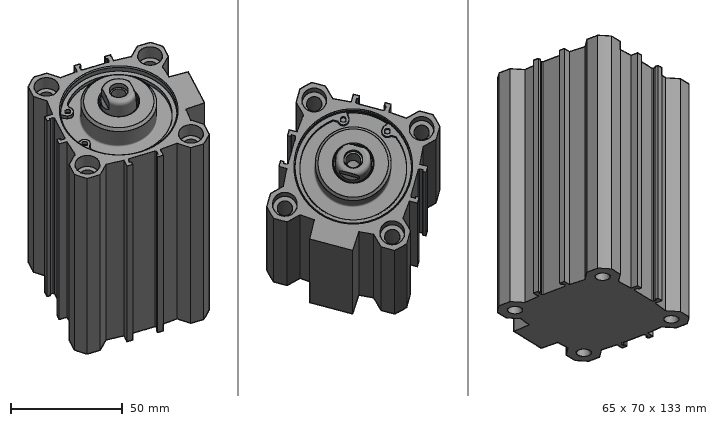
import cadquery as cq
import math


overall_width = 65.0
overall_depth = 70.0
overall_height = 133.0
housing_height = 119.5
boss_top = 125.7

half_width = overall_width / 2
lobe_corner = 28.0
lobe_inner = 21.8
wall_centre = 28.5
wall_end = 27.8
lobe_flank = half_width - wall_end

rail_outer = 8.8
rail_lip_inner = 6.0
rail_stem_width = 2.0
rail_tip = 32.2
rail_lip_thickness = 1.6
rail_root_chamfer = 0.5

port_top = overall_depth - half_width
port_top_width = 20.0
port_base_width = 20.7

mount_pitch = 49.9
mount_hole_diameter = 6.8
mount_counterbore_diameter = 11.0
mount_counterbore_depth = 7.5

bore_diameter = 52.1
bore_chamfer = 0.5
bore_chamfer_angle = 45
cover_depth = 22.6
bore_floor = housing_height - cover_depth

ring_depth = 3.0
ring_thickness = 2.0
ring_outer_diameter = 55.2
ring_inner_diameter = 47.9
ring_top = housing_height - ring_depth
ring_bottom = ring_top - ring_thickness
lug_x = 10.2
lug_y = -20.5
lug_radius = 2.5
lug_hole_diameter = 2.5
tab_edge_y = -19.0
lug_end = (7.8, -21.7)
ring_end = (10.5, -25.5)

cover_diameter = 51.7
boss_diameter = 34.0
boss_chamfer = 1.26
boss_base_fillet = 0.73
rod_clearance_diameter = 16.5
wiper_diameter = 17.7
wiper_depth = 2.7
wiper_chamfer = 0.47

rod_diameter = 16.0
rod_end_fillet = 1.9
flat_distance = 6.5
flat_length = 5.5
socket_diameter = 8.4
socket_depth = 2.7
thread_diameter = 6.6
thread_depth = 16.0
drill_point_angle = 160.0


def turned(point, quarter):
    """Turn a point about the axis by quarter turns."""
    x, y = point
    for _ in range(quarter):
        x, y = -y, x
    return (x, y)


def cylinder(diameter, bottom, top):
    return cq.Workplane("XY").workplane(offset=bottom).circle(diameter / 2).extrude(top - bottom)


def make_lobed_block():
    flank_x = lobe_inner - lobe_flank
    side = [
        (lobe_corner, half_width),
        (lobe_inner, half_width),
        (flank_x, wall_end),
        (rail_outer, wall_centre),
        (-rail_outer, wall_centre),
        (-flank_x, wall_end),
        (-lobe_inner, half_width),
        (-lobe_corner, half_width),
    ]
    corner_mid = math.hypot(lobe_corner, half_width) / math.sqrt(2)
    profile = cq.Workplane("XY").moveTo(*side[0])
    for quarter in range(4):
        for point in side[1:]:
            profile = profile.lineTo(*turned(point, quarter))
        profile = profile.threePointArc(
            turned((-corner_mid, corner_mid), quarter), turned(side[0], quarter + 1)
        )
    return profile.close().extrude(housing_height)


def make_rail(quarter, mirror):
    """One L-shaped rail; its lip points to the middle of the side."""
    stem_inner = rail_outer - rail_stem_width
    lip_start = rail_tip - rail_lip_thickness
    outline = [
        (rail_outer, wall_end),
        (rail_outer, rail_tip),
        (rail_lip_inner, rail_tip),
        (rail_lip_inner, lip_start),
        (stem_inner, lip_start),
        (stem_inner, wall_centre + rail_root_chamfer),
        (stem_inner - rail_root_chamfer, wall_centre),
        (stem_inner - rail_root_chamfer, wall_end),
    ]
    points = [turned((mirror * x, y), quarter) for x, y in outline]
    return cq.Workplane("XY").polyline(points).close().extrude(housing_height)


def make_port_block():
    outline = [
        (-port_base_width / 2, wall_end),
        (port_base_width / 2, wall_end),
        (port_top_width / 2, port_top),
        (-port_top_width / 2, port_top),
    ]
    return cq.Workplane("XY").polyline(outline).close().extrude(housing_height)


def make_housing():
    body = make_lobed_block().union(make_port_block())
    for quarter in (1, 2, 3):
        for mirror in (1, -1):
            body = body.union(make_rail(quarter, mirror))
    body = (
        body.faces(">Z").workplane(origin=(0, 0, housing_height))
        .rect(mount_pitch, mount_pitch, forConstruction=True).vertices()
        .cboreHole(mount_hole_diameter, mount_counterbore_diameter, mount_counterbore_depth)
    )
    bore_mouth = (
        cq.Workplane("XY").workplane(offset=housing_height)
        .circle(bore_diameter / 2 + bore_chamfer).extrude(-bore_chamfer, taper=bore_chamfer_angle)
    )
    body = body.cut(cylinder(bore_diameter, bore_floor, housing_height)).cut(bore_mouth)
    return body.cut(cylinder(ring_outer_diameter, ring_bottom, ring_top))


def make_ring():
    plane = cq.Workplane("XY").workplane(offset=ring_bottom)
    ring = plane.circle(ring_outer_diameter / 2).circle(ring_inner_diameter / 2).extrude(ring_thickness)
    gap = plane.polyline([(0, 0), (-ring_end[0], ring_end[1]), (0, -ring_outer_diameter), ring_end])
    ring = ring.cut(gap.close().extrude(ring_thickness))
    inner_radius = ring_inner_diameter / 2
    tab_start = (math.sqrt(inner_radius**2 - tab_edge_y**2), tab_edge_y)
    for side in (1, -1):
        tab = [tab_start, (lug_x, tab_edge_y), lug_end, ring_end]
        tab = [(side * x, y) for x, y in tab]
        ring = ring.union(plane.polyline(tab).close().extrude(ring_thickness))
        ring = ring.union(plane.center(side * lug_x, lug_y).circle(lug_radius).extrude(ring_thickness))
        hole = plane.center(side * lug_x, lug_y).circle(lug_hole_diameter / 2)
        ring = ring.cut(hole.extrude(ring_thickness))
    return ring


def make_rod_cover():
    """Flange and boss as one turned section."""
    cover_radius = cover_diameter / 2
    boss_radius = boss_diameter / 2
    clearance_radius = rod_clearance_diameter / 2
    wiper_radius = wiper_diameter / 2
    wiper_floor = boss_top - wiper_depth
    fillet_mid = boss_base_fillet * (1 - math.sqrt(0.5))
    return (
        cq.Workplane("XZ")
        .moveTo(clearance_radius, bore_floor)
        .lineTo(cover_radius, bore_floor)
        .lineTo(cover_radius, ring_bottom)
        .lineTo(boss_radius + boss_base_fillet, ring_bottom)
        .threePointArc(
            (boss_radius + fillet_mid, ring_bottom + fillet_mid),
            (boss_radius, ring_bottom + boss_base_fillet),
        )
        .lineTo(boss_radius, boss_top - boss_chamfer)
        .lineTo(boss_radius - boss_chamfer, boss_top)
        .lineTo(wiper_radius + wiper_chamfer, boss_top)
        .lineTo(wiper_radius, boss_top - wiper_chamfer)
        .lineTo(wiper_radius, wiper_floor)
        .lineTo(clearance_radius, wiper_floor)
        .close()
        .revolve(360, (0, 0, 0), (0, 1, 0))
    )


def make_flat_cutter(side):
    """Removes one wrench flat, with a 45 degree run-out at its lower end."""
    rod_radius = rod_diameter / 2
    flat_bottom = overall_height - flat_length
    outline = [
        (side * flat_distance, overall_height),
        (side * flat_distance, flat_bottom),
        (side * rod_radius, flat_bottom - (rod_radius - flat_distance)),
        (side * rod_radius, overall_height),
    ]
    return cq.Workplane("YZ").polyline(outline).close().extrude(rod_radius, both=True)


def make_rod():
    rod = cylinder(rod_diameter, bore_floor, overall_height).faces(">Z").edges().fillet(rod_end_fillet)
    for side in (1, -1):
        rod = rod.cut(make_flat_cutter(side))
    thread_radius = thread_diameter / 2
    thread_bottom = overall_height - thread_depth
    point_depth = thread_radius / math.tan(math.radians(drill_point_angle / 2))
    hole = (
        cq.Workplane("XZ")
        .moveTo(0, overall_height)
        .lineTo(socket_diameter / 2, overall_height)
        .lineTo(socket_diameter / 2, overall_height - socket_depth)
        .lineTo(thread_radius, overall_height - socket_depth)
        .lineTo(thread_radius, thread_bottom)
        .lineTo(0, thread_bottom - point_depth)
        .close()
        .revolve(360, (0, 0, 0), (0, 1, 0))
    )
    return rod.cut(hole)


housing = make_housing()
retaining_ring = make_ring()
rod_cover = make_rod_cover()
piston_rod = make_rod()

result = cq.Compound.makeCompound(
    [housing.val(), retaining_ring.val(), rod_cover.val(), piston_rod.val()]
)